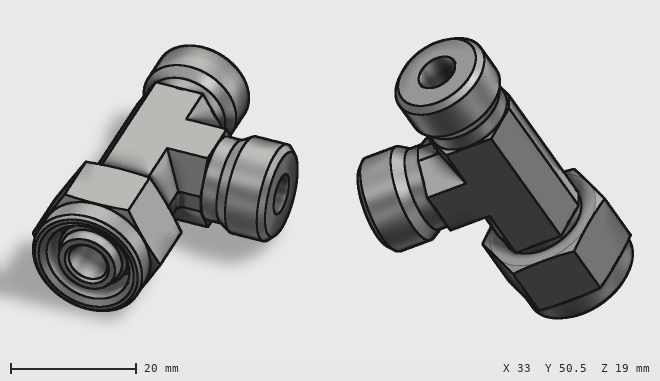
import cadquery as cq
import math


body_flats = 14.0
body_width = 14.45
body_arm = 11.0
body_front = 13.25
corner_fillet = 1.0

male_reach = 22.0
male_radius = 8.0
neck_radius = 6.85
male_chamfer = 1.0
male_length = 6.45
undercut_length = 1.9
bore_radius = 3.3

total_length = 50.5
nut_end = total_length - male_reach
nut_flats = 19.0
nut_back = 14.7
collar_start = 24.45
nut_neck_radius = 6.95
collar_radius = 9.4
collar_chamfer = 0.55
hex_chamfer_angle = 13.0
mouth_radius = 8.2
thread_radius = 7.1
mouth_depth = 0.75

nose_recess = 0.25
nose_end = nut_end - nose_recess
nose_radius = 4.85
nose_chamfer = 0.5
cone_half_angle = 12.0
cone_base_radius = 6.3
ring_section = 0.75
ring_outer_radius = 5.8
ring_depth = 2.7

cone_slope = math.tan(math.radians(cone_half_angle))
cone_length = (cone_base_radius - nose_radius) / cone_slope
cavity_floor = nose_end - cone_length


def along_branch(shape):
    """Turn a shape built toward +Y so that it points to +X."""
    return shape.rotate((0, 0, 0), (0, 0, 1), -90)


def toward_front(shape):
    """Turn a shape built toward +Y so that it points to -Y."""
    return shape.rotate((0, 0, 0), (0, 0, 1), 180)


def turned(profile):
    """Revolve (radius, distance) points around the Y axis."""
    return cq.Workplane("XY").polyline(profile).close().revolve(360, (0, 0, 0), (0, 1, 0))


def hexagon_bar(flats, start, end):
    """Hexagonal bar along Y with flats at the top and bottom."""
    corners = flats / math.cos(math.pi / 6)
    return cq.Workplane("XZ", origin=(0, end, 0)).polygon(6, corners).extrude(end - start)


def body_bar(start, end):
    side_cut = cq.Workplane("XY").box(body_width, 2 * total_length, body_flats)
    return hexagon_bar(body_flats, start, end).intersect(side_cut)


def male_end():
    undercut_end = male_reach - male_length
    undercut_start = undercut_end - undercut_length
    return turned([
        (0, 0),
        (neck_radius, 0),
        (neck_radius, undercut_start),
        (male_radius, undercut_end),
        (male_radius, male_reach - male_chamfer),
        (male_radius - male_chamfer, male_reach),
        (0, male_reach),
    ])


def corner_fillets():
    """Concave fillets where the side flats of the run meet those of the branch."""
    half_width = body_width / 2
    corner_height = 2 * (body_flats - half_width * math.sqrt(3))
    fillet = (
        cq.Workplane("XY", origin=(half_width, half_width, -corner_height / 2))
        .lineTo(corner_fillet, 0)
        .radiusArc((0, corner_fillet), corner_fillet)
        .close()
        .extrude(corner_height)
    )
    return fillet.union(fillet.mirror("XZ"))


def swivel_nut():
    face_radius = nut_flats / 2
    corner_radius = nut_flats / math.sqrt(3)
    corner_drop = (corner_radius - face_radius) * math.tan(math.radians(hex_chamfer_angle))
    hex_envelope = turned([
        (0, nut_back),
        (face_radius, nut_back),
        (corner_radius, nut_back + corner_drop),
        (corner_radius, collar_start - corner_drop),
        (face_radius, collar_start),
        (0, collar_start),
    ])
    collar = turned([
        (0, nut_back),
        (collar_radius, nut_back),
        (collar_radius, nut_end - collar_chamfer),
        (collar_radius - collar_chamfer, nut_end),
        (0, nut_end),
    ])
    cavity = turned([
        (0, cavity_floor),
        (thread_radius, cavity_floor),
        (thread_radius, nut_end - mouth_depth),
        (mouth_radius, nut_end),
        (0, nut_end),
    ])
    hexagon = hexagon_bar(nut_flats, nut_back, collar_start).intersect(hex_envelope)
    return hexagon.union(collar).cut(cavity)


def sealing_nose():
    cone = turned([
        (0, cavity_floor),
        (cone_base_radius, cavity_floor),
        (nose_radius, nose_end),
        (0, nose_end),
    ])
    ring_center_radius = ring_outer_radius - ring_section
    ring = (
        cq.Workplane("XY", origin=(0, nose_end - ring_depth, 0))
        .moveTo(ring_center_radius, 0)
        .circle(ring_section)
        .revolve(360, (0, 0, 0), (0, 1, 0))
    )
    return cone.union(ring)


def bore(end):
    return turned([(0, 0), (bore_radius, 0), (bore_radius, end), (0, end)])


def nose_countersink():
    return turned([
        (0, nose_end - nose_chamfer),
        (bore_radius, nose_end - nose_chamfer),
        (bore_radius + nose_chamfer, nose_end),
        (0, nose_end),
    ])


run = body_bar(-body_front, body_arm)
branch = along_branch(body_bar(0, body_arm))
body = run.union(branch).union(corner_fillets())

front_neck = turned([(0, 0), (nut_neck_radius, 0), (nut_neck_radius, nut_back), (0, nut_back)])
front_end = front_neck.union(swivel_nut()).union(sealing_nose())

solid = body.union(male_end()).union(along_branch(male_end())).union(toward_front(front_end))

front_bore = toward_front(bore(nose_end).union(nose_countersink()))
result = solid.cut(bore(male_reach)).cut(along_branch(bore(male_reach))).cut(front_bore)